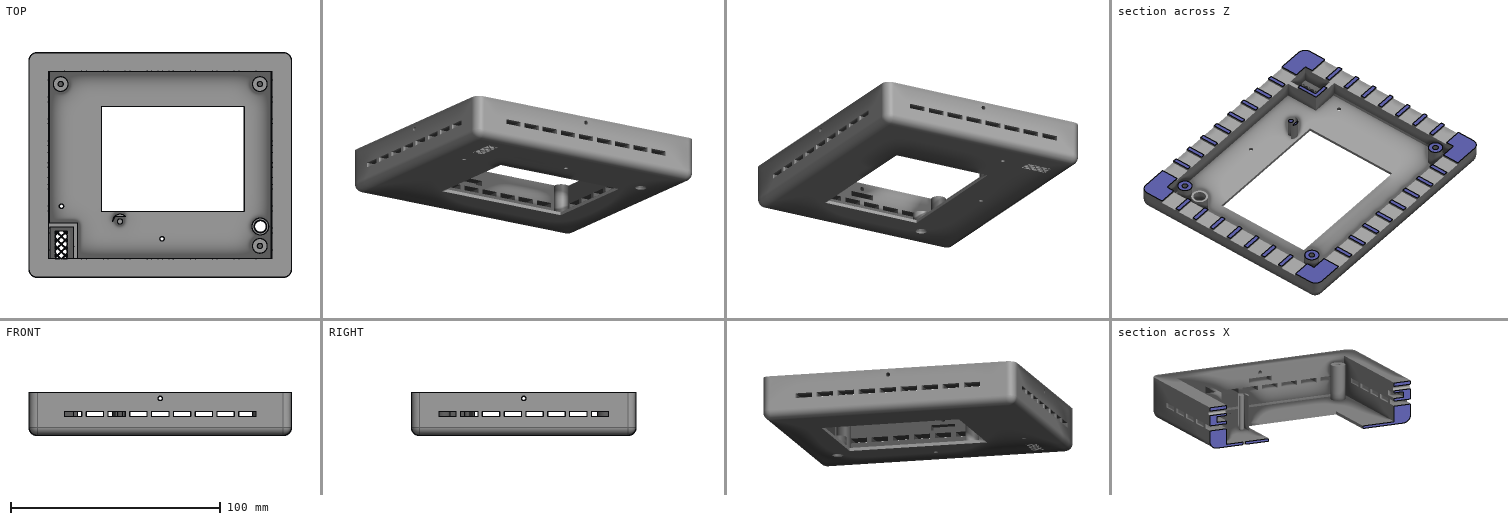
import cadquery as cq
import math

LENGTH = 125.5
WIDTH = 107.4
HEIGHT = 20.7
EDGE_RADIUS = 4.0
FLOOR = 1.5
CAVITY_LENGTH = 106.9
CAVITY_WIDTH = 89.3

WEDGE_WIDTH = 0.5
WEDGE_HEIGHT = 1.0

WINDOW_LENGTH = 68.0
WINDOW_WIDTH = 50.1
WINDOW_X = 6.0
WINDOW_Y = 2.9

SLOT_LENGTH = 8.2
SLOT_HEIGHT = 2.3
SLOT_PITCH = 10.4
SLOT_DEPTH = 14.8
SLOTS_ALONG_X = 9
SLOTS_ALONG_Y = 8

SMALL_HOLE_DIAMETER = 2.0
WALL_HOLE_Z = 17.8
POCKET_LENGTH = 12.0
POCKET_HEIGHT = 2.5
POCKET_DEPTH = 5.0
POCKET_Z = 14.3

POST_RADIUS = 7.0 / 2
POST_HOLE_DIAMETER = 2.5
POST_TOP = 18.6
POST_X = 47.5
POST_Y = 38.7
POST_PLACES = [(-POST_X, POST_Y), (POST_X, POST_Y), (POST_X, -POST_Y)]

PIN_DIAMETER = 2.5
PIN_X = -19.2
PIN_Y = -27.0
CUT_POST_FACE = 2.4
CUT_POST_CORNER = -2.4

TUBE_X = 47.8
TUBE_Y = -29.4
TUBE_DIAMETER = 8.0
TUBE_BORE = 6.0
TUBE_FLOOR_HOLE = 5.5
TUBE_TOP = 8.9

FLOOR_HOLES = [(-47.2, -19.7), (0.9, -35.3)]

BOX_WALL = 2.0
BOX_TOP = 14.9
BOX_INNER_LEFT = -52.7
BOX_INNER_RIGHT = -41.4
BOX_INNER_BACK = -29.6
GRILLE_LEFT = -50.1
GRILLE_WIDTH = 5.6
GRILLE_BACK = -31.6
GRILLE_PITCH = 3.6
GRILLE_BAR = 0.4
GRILLE_FIRST_CROSSING = -34.1
GRILLE_CROSSINGS = 4
GRILLE_BAR_LENGTH = 25.1
GRILLE_ANGLE = 45


def block(x_min, x_max, y_min, y_max, z_min, z_max):
    """Axis-aligned block between the given limits."""
    size = (x_max - x_min, y_max - y_min, z_max - z_min)
    return cq.Workplane().box(*size, centered=False).translate((x_min, y_min, z_min))


def cylinder(x, y, diameter, z_min, z_max):
    """Upright cylinder between two heights."""
    return cq.Workplane().circle(diameter / 2).extrude(z_max - z_min).translate((x, y, z_min))


def make_tray():
    """Rounded block with a rectangular cavity and a sloped wedge at the foot of two walls."""
    outer = block(-LENGTH / 2, LENGTH / 2, -WIDTH / 2, WIDTH / 2, 0, HEIGHT)
    outer = outer.edges("|Z").fillet(EDGE_RADIUS).faces("<Z").edges().fillet(EDGE_RADIUS)
    half_x = CAVITY_LENGTH / 2
    half_y = CAVITY_WIDTH / 2
    tray = outer.cut(block(-half_x, half_x, -half_y, half_y, FLOOR, HEIGHT))
    for side in (-1, 1):
        corner = side * half_x
        profile = [
            (corner, FLOOR),
            (corner - side * WEDGE_WIDTH, FLOOR),
            (corner, FLOOR + WEDGE_HEIGHT),
        ]
        wedge = cq.Workplane("XZ").polyline(profile).close().extrude(half_y, both=True)
        tray = tray.union(wedge)
    return tray


def add_sensor_box(tray):
    """Corner box whose other two sides are the tray walls, thickened on the left."""
    front = -CAVITY_WIDTH / 2
    left = -CAVITY_LENGTH / 2
    shell = block(left, BOX_INNER_RIGHT + BOX_WALL, front, BOX_INNER_BACK + BOX_WALL, FLOOR, BOX_TOP)
    inside = block(BOX_INNER_LEFT, BOX_INNER_RIGHT, front, BOX_INNER_BACK, FLOOR, BOX_TOP)
    return tray.union(shell.cut(inside))


def wall_cutters(outer_width, cavity_width, slot_count):
    """Slots, screw hole and pocket for a wall on the -Y side of a tray with these widths."""
    outside = -outer_width / 2
    inside = -cavity_width / 2
    hole = cq.Workplane("XZ").center(0, WALL_HOLE_Z).circle(SMALL_HOLE_DIAMETER / 2)
    cutters = hole.extrude(-SLOT_DEPTH).translate((0, outside, 0))
    cutters = cutters.union(
        block(
            -POCKET_LENGTH / 2,
            POCKET_LENGTH / 2,
            inside - POCKET_DEPTH,
            inside,
            POCKET_Z - POCKET_HEIGHT / 2,
            POCKET_Z + POCKET_HEIGHT / 2,
        )
    )
    for index in range(slot_count):
        x = (index - (slot_count - 1) / 2) * SLOT_PITCH
        z = HEIGHT / 2
        cutters = cutters.union(
            block(
                x - SLOT_LENGTH / 2,
                x + SLOT_LENGTH / 2,
                outside,
                outside + SLOT_DEPTH,
                z - SLOT_HEIGHT / 2,
                z + SLOT_HEIGHT / 2,
            )
        )
    return cutters


def cut_walls(tray):
    """Cut the vents, holes and pockets into all four walls."""
    along_x = wall_cutters(WIDTH, CAVITY_WIDTH, SLOTS_ALONG_X)
    along_y = wall_cutters(LENGTH, CAVITY_LENGTH, SLOTS_ALONG_Y)
    for cutters, turn in ((along_x, 0), (along_x, 180), (along_y, 90), (along_y, -90)):
        tray = tray.cut(cutters.rotate((0, 0, 0), (0, 0, 1), turn))
    return tray


def add_posts(tray):
    """Corner posts with blind screw holes down to the floor."""
    for x, y in POST_PLACES:
        post = cylinder(x, y, 2 * POST_RADIUS, FLOOR, POST_TOP)
        tray = tray.union(post.cut(cylinder(x, y, POST_HOLE_DIAMETER, FLOOR, POST_TOP)))
    return tray


def add_cut_post(tray):
    """Slice of a round post behind the pin, with a thin lip along its left side."""
    half_face = math.sqrt(POST_RADIUS**2 - CUT_POST_FACE**2)
    outline = (
        cq.Workplane()
        .moveTo(half_face, CUT_POST_FACE)
        .threePointArc((0, POST_RADIUS), (-POST_RADIUS, 0))
        .lineTo(CUT_POST_CORNER, CUT_POST_FACE)
        .close()
    )
    post = outline.extrude(POST_TOP - FLOOR)
    return tray.union(post.translate((PIN_X, PIN_Y, FLOOR)))


def cut_floor(tray):
    """Display window and plain round holes through the floor."""
    half_x = WINDOW_LENGTH / 2
    half_y = WINDOW_WIDTH / 2
    tray = tray.cut(
        block(WINDOW_X - half_x, WINDOW_X + half_x, WINDOW_Y - half_y, WINDOW_Y + half_y, 0, FLOOR)
    )
    for x, y in FLOOR_HOLES:
        tray = tray.cut(cylinder(x, y, SMALL_HOLE_DIAMETER, 0, FLOOR))
    return tray


def add_tube(tray):
    """Short tube whose bore narrows where it passes through the floor."""
    tray = tray.union(cylinder(TUBE_X, TUBE_Y, TUBE_DIAMETER, FLOOR, TUBE_TOP))
    tray = tray.cut(cylinder(TUBE_X, TUBE_Y, TUBE_BORE, FLOOR, TUBE_TOP))
    return tray.cut(cylinder(TUBE_X, TUBE_Y, TUBE_FLOOR_HOLE, 0, FLOOR))


def add_grille(tray):
    """Opening in the floor of the sensor box, crossed by diagonal bars."""
    middle = GRILLE_LEFT + GRILLE_WIDTH / 2
    right = GRILLE_LEFT + GRILLE_WIDTH
    openings = block(GRILLE_LEFT, right, -CAVITY_WIDTH / 2, GRILLE_BACK, 0, FLOOR)
    bar = cq.Workplane().box(GRILLE_BAR_LENGTH, GRILLE_BAR, FLOOR)
    for index in range(-1, GRILLE_CROSSINGS + 1):
        y = GRILLE_FIRST_CROSSING - index * GRILLE_PITCH
        for turn in (GRILLE_ANGLE, -GRILLE_ANGLE):
            turned_bar = bar.rotate((0, 0, 0), (0, 0, 1), turn)
            openings = openings.cut(turned_bar.translate((middle, y, FLOOR / 2)))
    return tray.cut(openings)


housing = make_tray()
housing = add_sensor_box(housing)
housing = cut_walls(housing)
housing = add_posts(housing)
housing = add_cut_post(housing)
housing = cut_floor(housing)
housing = add_tube(housing)
housing = add_grille(housing)

pin = cylinder(PIN_X, PIN_Y, PIN_DIAMETER, FLOOR, POST_TOP)

result = cq.Compound.makeCompound([housing.val(), pin.val()])